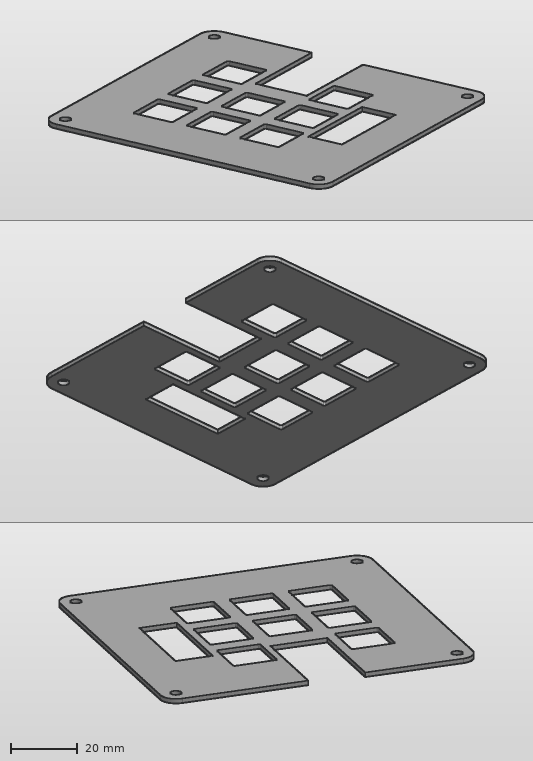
import cadquery as cq

plate_length = 100.6
plate_width = 91.8
plate_thickness = 1.5
corner_radius = 5.0

screw_hole_diameter = 3.4
screw_hole_inset = 5.0

key_size = 14.0
key_corner_radius = 0.5
key_pitch = 19.0
grid_center_x = -5.0
grid_center_y = 0.4

notch_width = 18.3
notch_center_x = -4.5
notch_floor_y = 15.0

window_width = 12.0
window_height = 29.5
window_center_x = 29.7
window_center_y = 1.4


def cutter(width, height, center_x, center_y):
    """Block as thick as the plate, used to cut an opening through it."""
    return (
        cq.Workplane("XY")
        .box(width, height, plate_thickness)
        .translate((center_x, center_y, 0))
    )


def make_plate():
    return (
        cq.Workplane("XY")
        .box(plate_length, plate_width, plate_thickness)
        .edges("|Z")
        .fillet(corner_radius)
        .faces(">Z")
        .workplane()
        .rect(plate_length - 2 * screw_hole_inset, plate_width - 2 * screw_hole_inset, forConstruction=True)
        .vertices()
        .hole(screw_hole_diameter)
    )


def cut_keys(plate):
    for column in (-1, 0, 1):
        for row in (-1, 0, 1):
            if (column, row) == (0, 1):
                continue
            x = grid_center_x + column * key_pitch
            y = grid_center_y + row * key_pitch
            key = cutter(key_size, key_size, x, y).edges("|Z").fillet(key_corner_radius)
            plate = plate.cut(key)
    return plate


def cut_notch(plate):
    notch_depth = plate_width / 2 - notch_floor_y
    notch_center_y = notch_floor_y + notch_depth / 2
    return plate.cut(cutter(notch_width, notch_depth, notch_center_x, notch_center_y))


def cut_window(plate):
    return plate.cut(cutter(window_width, window_height, window_center_x, window_center_y))


result = cut_window(cut_notch(cut_keys(make_plate())))